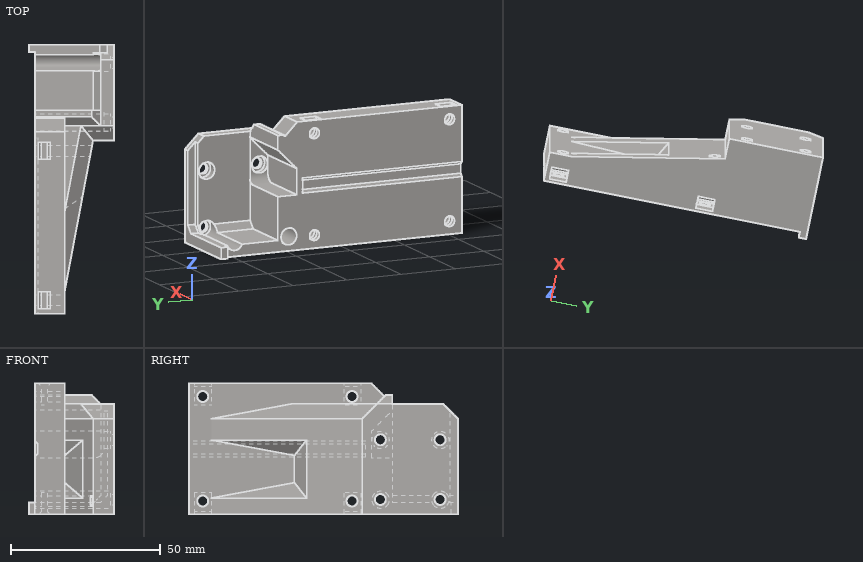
import cadquery as cq
import math

length = 90.1
total_height = 44.0

plate_thickness = 10.0
plate_end_y = 68.1
shoulder_height = 40.0
shoulder_edge_y = 65.9
shoulder_notch_depth = 0.45

flange_outer_x = 26.5
flange_front_y = 58.0
bracket_height = 37.0
bracket_chamfer = 4.95
wedge_tip_y = 7.5
wedge_end_x = 19.5

bay_wall_x = 22.0
floor_thickness = 4.0
foot_chamfer = 2.45
lip_projection = 2.0
lip_width = 2.5
recess_depth = 2.2
recess_width = 2.7

window_front_y = 61.1
window_floor_z = 19.0
window_ceiling_front_z = 28.0
window_wall_x = 23.0
window_fillet = 3.2

mount_pitch = 20.0
mount_front_y = 64.1
mount_low_z = 5.0
screw_diameter = 3.6
screw_head_diameter = 5.8
screw_head_seat_x = 25.3

plate_hole_front_y = 4.6
plate_hole_pitch_y = 50.0
plate_hole_pitch_z = 35.0
nut_width = 5.7
nut_slot_near_x = 2.15
nut_slot_thickness = 1.9
nut_slot_chamfer = 1.1

groove_end_y = 59.0
groove_width = 5.2
groove_depth = 1.0

pocket_low_z = 5.5
pocket_high_z = 24.9
pocket_taper = 45.0
pocket_end_x = 16.0

wedge_slope = (flange_front_y - wedge_tip_y) / (wedge_end_x - plate_thickness)
slant_length = math.hypot(1, wedge_slope)
slant_along = cq.Vector(1 / slant_length, wedge_slope / slant_length, 0)
slant_inward = cq.Vector(-slant_along.y, slant_along.x, 0)


def box(x0, x1, y0, y1, z0, z1):
    """Box between two opposite corners."""
    return cq.Workplane("XY").box(x1 - x0, y1 - y0, z1 - z0, centered=False).translate((x0, y0, z0))


def prism_along_x(points, x0, x1):
    """Outline of (y, z) points extruded from x0 to x1."""
    return cq.Workplane("YZ", origin=(x0, 0, 0)).polyline(points).close().extrude(x1 - x0)


def prism_along_y(points, y0, y1):
    """Outline of (x, z) points extruded from y0 to y1."""
    return cq.Workplane("XZ", origin=(0, y0, 0)).polyline(points).close().extrude(y0 - y1)


def cylinder_along_x(y, z, diameter, x0, x1):
    """Round bar parallel to X."""
    return cq.Workplane("YZ", origin=(x0, y, z)).circle(diameter / 2).extrude(x1 - x0)


def plate():
    """Upright plate with a V-notch and ramp down to its shoulder."""
    notch_y = shoulder_edge_y - shoulder_notch_depth
    notch_z = shoulder_height - shoulder_notch_depth
    outline = [
        (0, 0),
        (plate_end_y, 0),
        (plate_end_y, shoulder_height),
        (shoulder_edge_y, shoulder_height),
        (notch_y, notch_z),
        (notch_y - (total_height - notch_z), total_height),
        (0, total_height),
    ]
    return prism_along_x(outline, 0, plate_thickness)


def wedge():
    """Triangular brace behind the plate, chamfered along the top of its slanted face."""
    end_x = plate_thickness + (plate_end_y - wedge_tip_y) / wedge_slope
    outline = [(plate_thickness, wedge_tip_y), (end_x, plate_end_y), (plate_thickness, plate_end_y)]
    body = cq.Workplane("XY").polyline(outline).close().extrude(bracket_height)
    tip = cq.Vector(plate_thickness, wedge_tip_y, bracket_height)
    chamfer_start = tip - slant_along * plate_end_y
    edge_plane = cq.Plane(origin=chamfer_start.toTuple(), xDir=slant_inward, normal=slant_along)
    chamfer = (
        cq.Workplane(edge_plane)
        .polyline([(0, 0), (bracket_chamfer, 0), (0, -bracket_chamfer)])
        .close()
        .extrude(2 * length)
    )
    return body.cut(chamfer)


def flange():
    """Thick end wall, bevelled at both upper corners, with its web back to the plate."""
    bevel_z = bracket_height - bracket_chamfer
    outline = [
        (flange_front_y, 0),
        (length, 0),
        (length, bevel_z),
        (length - bracket_chamfer, bracket_height),
        (flange_front_y + bracket_chamfer, bracket_height),
        (flange_front_y, bevel_z),
    ]
    wall = prism_along_x(outline, plate_thickness, flange_outer_x)
    bay = box(0, bay_wall_x, plate_end_y, length, floor_thickness, bracket_height)
    return wall.cut(bay)


def shoulder_ridge():
    """Ridge that carries the plate's shoulder over to the flange, mitred on two sides."""
    rise = shoulder_height - bracket_height
    ridge_front_y = shoulder_edge_y - rise
    return (
        box(plate_thickness, bay_wall_x, ridge_front_y, plate_end_y, bracket_height - rise, shoulder_height)
        .edges("(>X and >Z) or (<Y and >Z)")
        .chamfer(rise)
    )


def foot(wall_x, y0, y1):
    """Sloped foot where the bay floor meets a wall at wall_x."""
    outline = [
        (wall_x - foot_chamfer, floor_thickness),
        (wall_x, floor_thickness + foot_chamfer),
        (wall_x, floor_thickness),
    ]
    return prism_along_y(outline, y0, y1)


def bay_floor():
    """Floor of the open bay, its end lip and the sloped foot along the flange."""
    floor = box(0, bay_wall_x, plate_end_y, length, 0, floor_thickness)
    lip = box(-lip_projection, bay_wall_x, length - lip_width, length, 0, floor_thickness)
    return floor.union(lip).union(foot(bay_wall_x, plate_end_y, length))


def lid_recess():
    """Shallow step cut in the flange above the lip, keeping its own sloped foot."""
    wall_x = bay_wall_x + recess_depth
    y0 = length - recess_width
    pocket = box(plate_thickness, wall_x, y0, length, floor_thickness, bracket_height)
    return pocket.cut(foot(wall_x, y0, length))


def window():
    """Opening under a 45 degree ceiling, with a rounded foot at the flange wall."""
    ceiling_end_z = window_ceiling_front_z + plate_end_y - window_front_y
    outline = [
        (window_front_y, window_floor_z),
        (plate_end_y, window_floor_z),
        (plate_end_y, ceiling_end_z),
        (window_front_y, window_ceiling_front_z),
    ]
    return prism_along_x(outline, 0, window_wall_x).edges("|Y and >X and <Z").fillet(window_fillet)


def mounting_holes():
    """Four counterbored screw holes through the flange."""
    holes = cq.Workplane("XY")
    for y in (mount_front_y, mount_front_y + mount_pitch):
        for z in (mount_low_z, mount_low_z + mount_pitch):
            holes = holes.add(cylinder_along_x(y, z, screw_diameter, 0, flange_outer_x))
            holes = holes.add(cylinder_along_x(y, z, screw_head_diameter, -lip_projection, screw_head_seat_x))
    return holes.combine()


def nut_slot(y):
    """Slot for a square nut, open at the plate's top edge with lead-in chamfers."""
    slot_end_z = (total_height + plate_hole_pitch_z - nut_width) / 2
    far_x = nut_slot_near_x + nut_slot_thickness
    outline = [
        (nut_slot_near_x, slot_end_z),
        (far_x, slot_end_z),
        (far_x, total_height - nut_slot_chamfer),
        (far_x + nut_slot_chamfer, total_height),
        (nut_slot_near_x - nut_slot_chamfer, total_height),
        (nut_slot_near_x, total_height - nut_slot_chamfer),
    ]
    return prism_along_y(outline, y - nut_width / 2, y + nut_width / 2)


def plate_holes():
    """Four screw holes through the plate, each crossed by a nut slot from the nearer edge."""
    middle_z = total_height / 2
    mid_plane = (0, 0, middle_z)
    holes = cq.Workplane("XY")
    for y in (plate_hole_front_y, plate_hole_front_y + plate_hole_pitch_y):
        upper_slot = nut_slot(y)
        holes = holes.add(upper_slot).add(upper_slot.mirror("XY", mid_plane))
        for z in (middle_z - plate_hole_pitch_z / 2, middle_z + plate_hole_pitch_z / 2):
            holes = holes.add(cylinder_along_x(y, z, screw_diameter, 0, flange_outer_x))
    return holes.combine()


def cable_groove():
    """Trapezoidal groove with 45 degree flanks, open at the near end."""
    middle_z = total_height / 2
    half = groove_width / 2
    outline = [
        (0, middle_z - half),
        (groove_depth, middle_z - half + groove_depth),
        (groove_depth, middle_z + half - groove_depth),
        (0, middle_z + half),
    ]
    return prism_along_y(outline, 0, groove_end_y)


def wedge_pocket():
    """Tapered pocket running in from the wedge's slanted face to the back of the plate."""
    pocket_length = (pocket_end_x - plate_thickness) * slant_length
    pocket_height = pocket_high_z - pocket_low_z
    slant_plane = cq.Plane(
        origin=(plate_thickness, wedge_tip_y, (pocket_low_z + pocket_high_z) / 2),
        xDir=slant_along,
        normal=slant_inward,
    )
    funnel = (
        cq.Workplane(slant_plane)
        .rect(2 * pocket_length, pocket_height)
        .extrude(pocket_end_x - plate_thickness, taper=pocket_taper)
    )
    return funnel.intersect(box(plate_thickness, flange_outer_x, 0, length, 0, total_height))


result = (
    plate()
    .union(wedge())
    .union(flange())
    .union(shoulder_ridge())
    .union(bay_floor())
    .cut(window())
    .cut(lid_recess())
    .cut(mounting_holes())
    .cut(plate_holes())
    .cut(cable_groove())
    .cut(wedge_pocket())
    .clean()
)